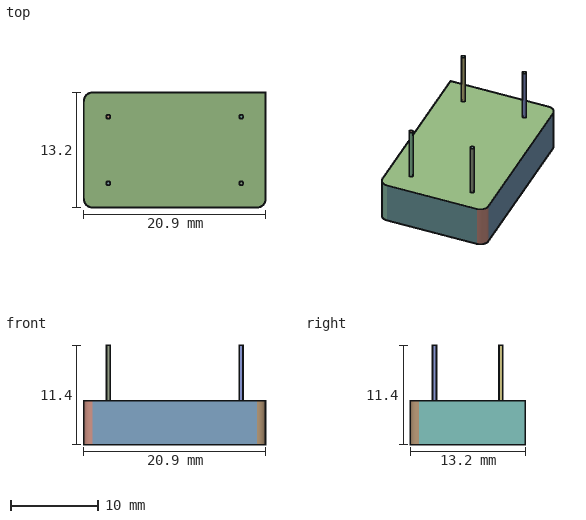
import cadquery as cq

case_length = 20.86
case_width = 13.2
case_height = 5.08
corner_radius = 1.0

pin_diameter = 0.46
pin_length = 6.35
pin_spacing_x = 15.24
pin_spacing_y = 7.62


def make_case():
    """Block resting on Z = 0; the corner at +X, +Y stays square, the other three are rounded."""
    block = cq.Workplane("XY").box(case_length, case_width, case_height, centered=(True, True, False))
    return block.edges("|Z").edges("<X or <Y").fillet(corner_radius)


def make_pins():
    """Four upright pins starting on the top face of the case."""
    return (
        cq.Workplane("XY", origin=(0, 0, case_height))
        .rect(pin_spacing_x, pin_spacing_y, forConstruction=True)
        .vertices()
        .circle(pin_diameter / 2)
        .extrude(pin_length)
    )


result = make_case().union(make_pins())